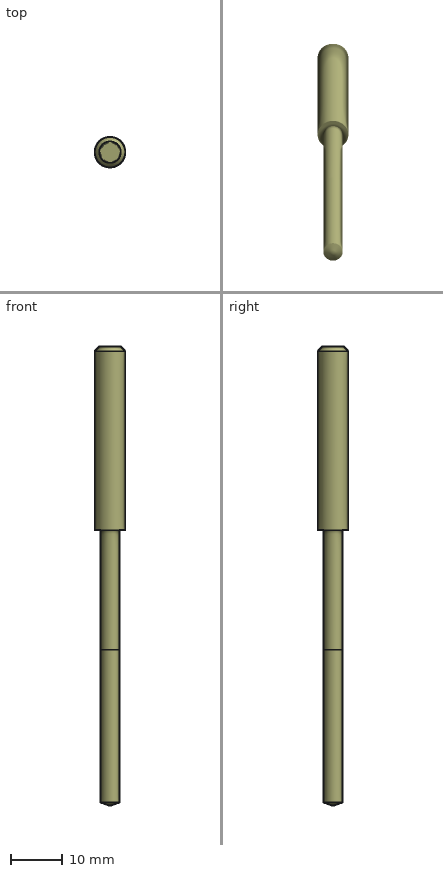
import cadquery as cq
import math

total_length = 90.0
shank_diameter = 6.0
shank_length = 36.0
shank_chamfer = 0.9
drill_diameter = 3.8
cutting_length = 30.6
point_angle = 140.0

shank_radius = shank_diameter / 2
drill_radius = drill_diameter / 2
shank_bottom = total_length - shank_length
point_height = drill_radius / math.tan(math.radians(point_angle / 2))


def make_holder():
    """Chamfered shank with the slender neck below it."""
    shank = (
        cq.Workplane("XY", origin=(0, 0, shank_bottom))
        .circle(shank_radius)
        .extrude(shank_length)
        .faces(">Z")
        .chamfer(shank_chamfer)
    )
    neck = (
        cq.Workplane("XY", origin=(0, 0, cutting_length))
        .circle(drill_radius)
        .extrude(shank_bottom - cutting_length)
    )
    return shank.union(neck)


def make_cutting_section():
    """Cylindrical cutting section with a conical point."""
    return (
        cq.Workplane("XZ")
        .moveTo(0, 0)
        .lineTo(drill_radius, point_height)
        .lineTo(drill_radius, cutting_length)
        .lineTo(0, cutting_length)
        .close()
        .revolve(360, (0, 0, 0), (0, 1, 0))
    )


holder = make_holder()
cutting_section = make_cutting_section()

result = cq.Compound.makeCompound([holder.val(), cutting_section.val()])